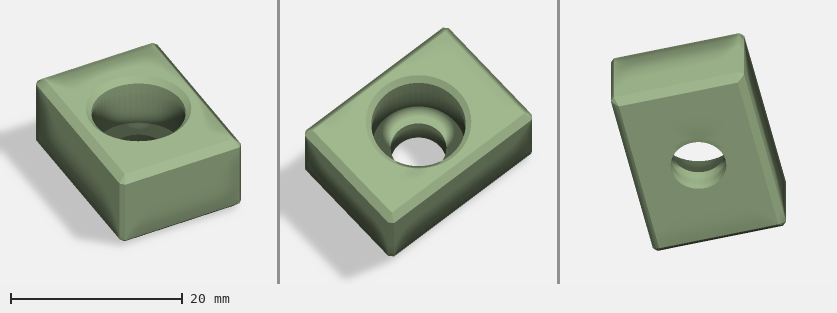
import cadquery as cq
import math

length = 22.0
width = 16.0
height = 10.0
face_chamfer = 0.85
corner_chamfer = 0.48

bore_diameter = 6.5
counterbore_diameter = 11.0
counterbore_depth = 6.5
mouth_chamfer = 0.65


def corner_cutter(side_x, side_y):
    """Solid that bevels one upright edge and joins it to the top and bottom face corners."""
    upright_inset = corner_chamfer / math.sqrt(2)
    face_inset = face_chamfer * math.sqrt(2)
    half_height = height / 2
    upright_end = half_height - face_chamfer
    slope_inset = 2 * face_inset - upright_inset
    slope_end = half_height + face_chamfer
    profile = [
        (-slope_inset, slope_end),
        (-upright_inset, upright_end),
        (-upright_inset, -upright_end),
        (-slope_inset, -slope_end),
        (face_inset, -slope_end),
        (face_inset, slope_end),
    ]
    diagonal_plane = cq.Plane(
        origin=(side_x * length / 2, side_y * width / 2, 0),
        xDir=(side_x, side_y, 0),
        normal=(side_y, -side_x, 0),
    )
    return cq.Workplane(diagonal_plane).polyline(profile).close().extrude(2 * face_inset, both=True)


def beveled_block():
    block = cq.Workplane("XY").box(length, width, height)
    block = block.faces("|Z").edges().chamfer(face_chamfer)
    for side_x in (-1, 1):
        for side_y in (-1, 1):
            block = block.cut(corner_cutter(side_x, side_y))
    return block


def stepped_hole():
    """Revolved cutter: through bore, counterbore and chamfered mouth."""
    bore_radius = bore_diameter / 2
    counterbore_radius = counterbore_diameter / 2
    top = height / 2
    floor = top - counterbore_depth
    profile = [
        (0, -top),
        (bore_radius, -top),
        (bore_radius, floor),
        (counterbore_radius, floor),
        (counterbore_radius, top - mouth_chamfer),
        (counterbore_radius + mouth_chamfer, top),
        (0, top),
    ]
    return cq.Workplane("XZ").polyline(profile).close().revolve()


result = beveled_block().cut(stepped_hole())